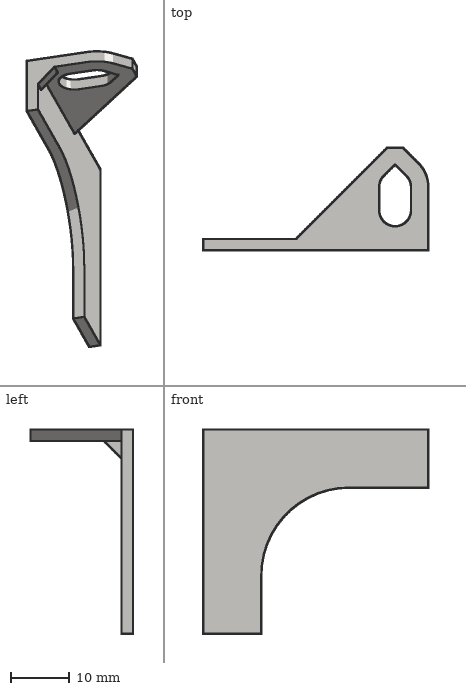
import cadquery as cq
import math

length = 38.6
depth = 17.6
height = 35.0
thickness = 2.0

arm_width = 10.0
inner_corner_radius = 15.0

slot_radius = 2.7
slot_edge_margin = 3.0
slot_center_y = 10.9
slot_travel = 4.0

rib_leg = 2.97
rib_thickness = thickness

tab_radius = slot_radius + slot_edge_margin
slot_center_x = length - tab_radius


def make_upright():
    """L-shaped plate with a large round in its inner corner, top edge at z = 0."""
    outline = (
        cq.Workplane("XZ")
        .polyline([
            (0, 0), (length, 0), (length, -arm_width),
            (arm_width, -arm_width), (arm_width, -height), (0, -height),
        ])
        .close()
    )
    inner_corner = cq.selectors.NearestToPointSelector((arm_width, thickness / 2, -arm_width))
    return outline.extrude(-thickness).edges("|Y").edges(inner_corner).fillet(inner_corner_radius)


def make_tab():
    """Horizontal tab: 45 degree sides around the slot center and a flat tip."""
    tip_y = slot_center_y + tab_radius * math.sqrt(2)
    tip_half_width = tip_y - depth
    tangent_offset = tab_radius / math.sqrt(2)
    return (
        cq.Workplane("XY")
        .moveTo(slot_center_x - (tip_y - thickness), thickness)
        .lineTo(slot_center_x - tip_half_width, depth)
        .lineTo(slot_center_x + tip_half_width, depth)
        .lineTo(slot_center_x + tangent_offset, slot_center_y + tangent_offset)
        .radiusArc((length, slot_center_y), tab_radius)
        .lineTo(length, thickness)
        .close()
        .extrude(-thickness)
    )


def make_slot():
    """Slot cutter with a round lower end and a pointed teardrop upper end."""
    lower_center_y = slot_center_y - slot_travel
    tangent_offset = slot_radius / math.sqrt(2)
    tangent_y = slot_center_y + tangent_offset
    left = slot_center_x - slot_radius
    right = slot_center_x + slot_radius
    return (
        cq.Workplane("XY")
        .moveTo(left, lower_center_y)
        .lineTo(left, slot_center_y)
        .radiusArc((slot_center_x - tangent_offset, tangent_y), slot_radius)
        .lineTo(slot_center_x, slot_center_y + slot_radius * math.sqrt(2))
        .lineTo(slot_center_x + tangent_offset, tangent_y)
        .radiusArc((right, slot_center_y), slot_radius)
        .lineTo(right, lower_center_y)
        .threePointArc((slot_center_x, lower_center_y - slot_radius), (left, lower_center_y))
        .close()
        .extrude(-thickness)
    )


def make_rib():
    """Triangular rib in the corner between plate and tab, flush with the +X end."""
    return (
        cq.Workplane("YZ", origin=(length - rib_thickness, thickness, -thickness))
        .polyline([(0, 0), (rib_leg, 0), (0, -rib_leg)])
        .close()
        .extrude(rib_thickness)
    )


result = make_upright().union(make_tab()).union(make_rib()).cut(make_slot())